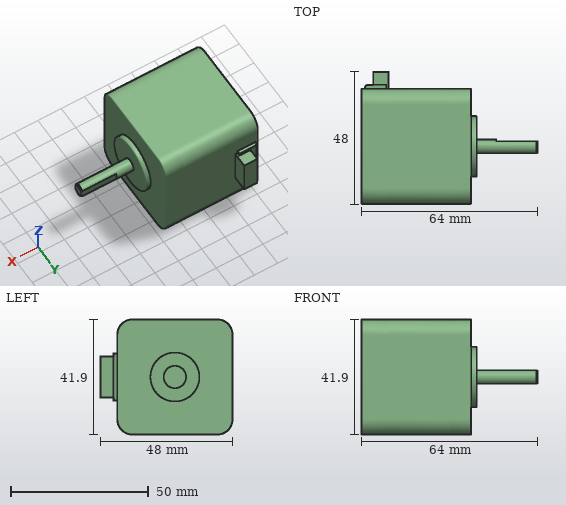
import cadquery as cq
import math


BODY_SIZE = 41.91
BODY_LENGTH = 39.88
CORNER_RADIUS = 5.6
END_FILLET = 0.45
REAR_CAP_LENGTH = 9.9
FRONT_CAP_START = 32.0

RECESS_DIAMETER = 17.78
RECESS_DEPTH = 1.9
BEARING_DIAMETER = 8.13
BEARING_DEPTH = 0.3

PILOT_DIAMETER = 22.1
PILOT_END = 41.91
PILOT_FILLET = 0.5
SHAFT_DIAMETER = 5.08
SHAFT_END = 64.01
SHAFT_CHAMFER_LENGTH = 0.5
SHAFT_CHAMFER_ANGLE = 30
FLAT_START = 49.05
FLAT_DEPTH = 0.6

CONNECTOR_START = 4.25
CONNECTOR_WIDTH = 14.9
CONNECTOR_HEIGHT = 6.1
FLANGE_START = 1.25
FLANGE_END = 9.0
FLANGE_WIDTH = 17.2
FLANGE_HEIGHT = 1.4
FLANGE_RADIUS = 1.23


def square_bar(start, end, size, radius):
    """Rounded square bar along X."""
    bar = cq.Workplane("YZ", origin=(start, 0, 0)).rect(size, size).extrude(end - start)
    return bar.edges("|X").fillet(radius)


def cylinder(start, end, diameter):
    """Round bar along the motor axis."""
    return cq.Workplane("YZ", origin=(start, 0, 0)).circle(diameter / 2).extrude(end - start)


def block(x_start, x_end, y_start, y_end, width):
    """Box centred on Z = 0."""
    plane = cq.Workplane("XY", origin=(x_start, y_start, -width / 2))
    return plane.box(x_end - x_start, y_end - y_start, width, centered=False)


def make_body():
    rear_cap = square_bar(0, REAR_CAP_LENGTH, BODY_SIZE, CORNER_RADIUS)
    rear_cap = rear_cap.faces("<X").edges().fillet(END_FILLET)
    stator = square_bar(REAR_CAP_LENGTH, FRONT_CAP_START, BODY_SIZE, CORNER_RADIUS)
    front_cap = square_bar(FRONT_CAP_START, BODY_LENGTH, BODY_SIZE, CORNER_RADIUS)
    front_cap = front_cap.faces(">X").edges().fillet(END_FILLET)
    return rear_cap.union(stator, clean=False).union(front_cap, clean=False)


def make_recess():
    recess = cylinder(0, RECESS_DEPTH, RECESS_DIAMETER)
    bearing = cylinder(0, RECESS_DEPTH + BEARING_DEPTH, BEARING_DIAMETER)
    return recess.union(bearing)


def make_pilot():
    pilot = cylinder(BODY_LENGTH, PILOT_END, PILOT_DIAMETER)
    return pilot.faces(">X").edges().fillet(PILOT_FILLET)


def make_shaft():
    shaft = cylinder(BODY_LENGTH, SHAFT_END, SHAFT_DIAMETER)
    chamfer_depth = SHAFT_CHAMFER_LENGTH * math.tan(math.radians(SHAFT_CHAMFER_ANGLE))
    shaft = shaft.faces(">X").edges().chamfer(SHAFT_CHAMFER_LENGTH, chamfer_depth)
    flat_height = SHAFT_DIAMETER / 2 - FLAT_DEPTH
    flat = block(FLAT_START, SHAFT_END, flat_height, SHAFT_DIAMETER, SHAFT_DIAMETER)
    return shaft.cut(flat)


def make_connector():
    side = BODY_SIZE / 2
    root = side - FLANGE_HEIGHT
    flange = block(FLANGE_START, FLANGE_END, root, side + FLANGE_HEIGHT, FLANGE_WIDTH)
    flange = flange.edges("<X and >Y").fillet(FLANGE_RADIUS)
    housing = block(CONNECTOR_START, REAR_CAP_LENGTH, root, side + CONNECTOR_HEIGHT, CONNECTOR_WIDTH)
    return flange.union(housing)


result = make_body().cut(make_recess(), clean=False)
for feature in (make_pilot(), make_shaft(), make_connector()):
    result = result.union(feature, clean=False)